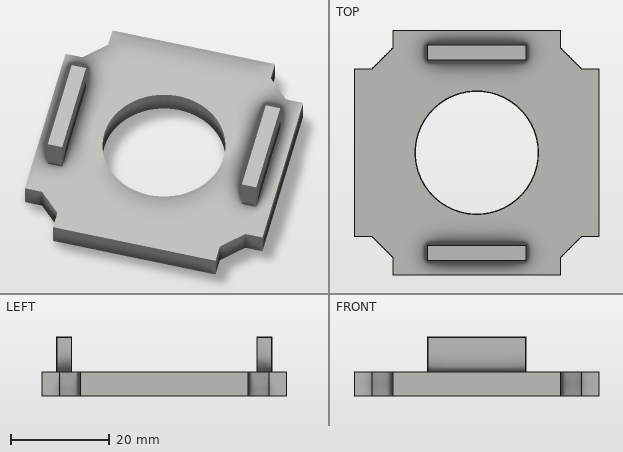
import cadquery as cq

plate_side = 49.8
plate_thickness = 5.0
bore_diameter = 25.0

notch_size = 7.85
notch_step = 3.6

overall_height = 12.0
tab_length = 20.0
tab_thickness = 3.05
tab_edge_gap = 3.05

half_side = plate_side / 2
tab_height = overall_height - plate_thickness
tab_offset = half_side - tab_edge_gap - tab_thickness / 2


def corner_notch(x_sign, y_sign):
    """Five-sided cutter for the plate corner in the given quadrant."""
    inset_points = [
        (0, 0),
        (notch_size, 0),
        (notch_size, notch_step),
        (notch_step, notch_size),
        (0, notch_size),
    ]
    outline = [
        (x_sign * (half_side - x_inset), y_sign * (half_side - y_inset))
        for x_inset, y_inset in inset_points
    ]
    return cq.Workplane("XY").polyline(outline).close().extrude(plate_thickness)


plate = (
    cq.Workplane("XY")
    .rect(plate_side, plate_side)
    .circle(bore_diameter / 2)
    .extrude(plate_thickness)
)

for x_sign in (-1, 1):
    for y_sign in (-1, 1):
        plate = plate.cut(corner_notch(x_sign, y_sign))

tabs = (
    cq.Workplane("XY", origin=(0, 0, plate_thickness))
    .pushPoints([(0, -tab_offset), (0, tab_offset)])
    .rect(tab_length, tab_thickness)
    .extrude(tab_height)
)

result = plate.union(tabs)